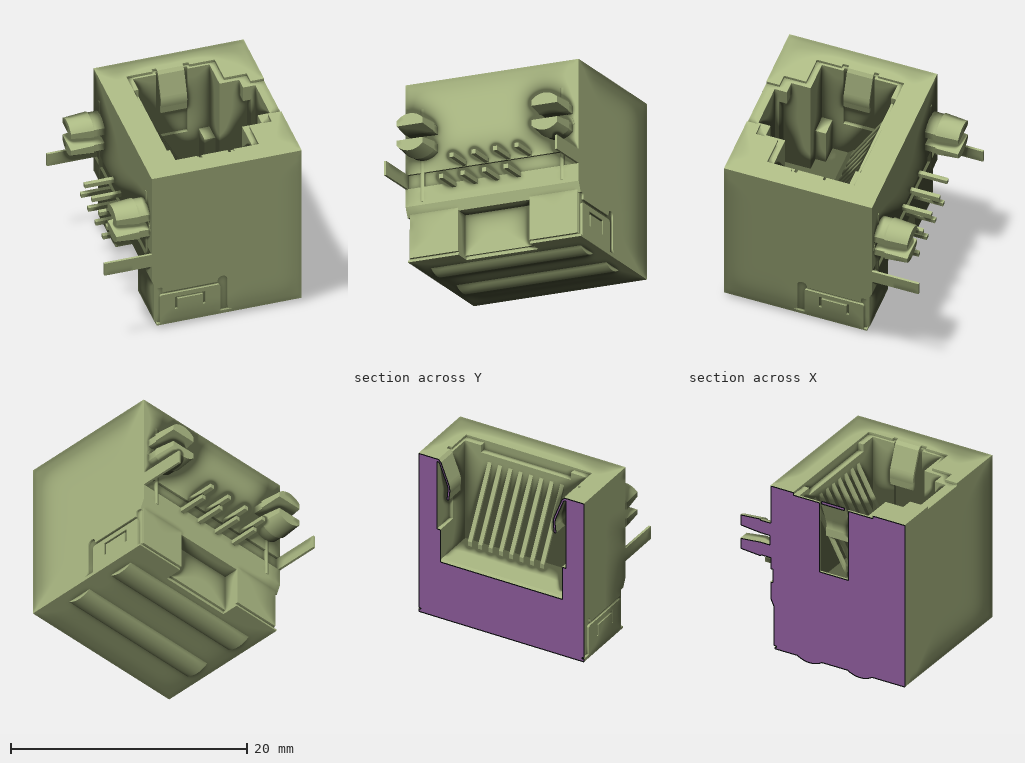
import cadquery as cq
import math


body_width = 16.27
body_depth = 13.32
body_height = 15.69
overall_height = 16.05
shell_thickness = 0.21
rim_depth = 0.25
half_width = body_width / 2
housing_half_width = half_width - shell_thickness
rim_level = body_height - rim_depth

chamfer_top = 4.8
chamfer_bottom = 3.93
chamfer_setback = 0.4
foot_top = 4.2
foot_front = 0.3
foot_bottom = 0.3
foot_inset = 0.05
seam_bottom = 0.18
seam_depth = 0.12
shell_front = 0.44
recess_half_width = 3.37
recess_depth = 1.79
recess_plate_setback = 0.23

opening_bottom = 2.28
opening_steps = [(6.19, 10.13), (3.52, 12.13), (2.4, body_depth)]
cavity_bottom = 2.8
cavity_half_width = 5.98
cavity_shoulder = 9.6
latch_half_width = 3.15
latch_shoulder = 12.06
key_half_width = 2.03
cavity_back = 12.43
cavity_steps = [
    (cavity_half_width, cavity_shoulder),
    (latch_half_width, latch_shoulder),
    (key_half_width, cavity_back),
]
cavity_floor = 5.26
keeper_front = 11.35
keeper_height = 1.44
rim_gap_half_width = 4.42
rim_gap_depth = 0.7

ledge_inner = 4.33
ledge_front = 8.66
ledge_top = 8.84
floor_step_top = 5.78
floor_slope_start = 6.73
floor_slope_end = 7.25

spring_front = 5.03
spring_back = 7.35
spring_shoulder = [(6.19, body_height), (5.93, 15.43), (5.19, 13.55)]
spring_bend = [(5.07, 13.05), (5.1, 12.53)]
spring_tip = [(5.15, 11.92), (5.38, 11.92), (5.33, 12.6)]
spring_back_bend = [(5.3, 13.05), (5.4, 13.48)]
spring_back_shoulder = (6.14, 15.35)
relief_half_width = 6.5
relief_front = 4.63
relief_back = 7.89
spring_slot_half_width = 6.31
spring_slot_front = 4.87
spring_slot_back = 7.68
spring_slot_bottom = 8.76

contact_count = 8
contact_pitch = 1.02
pin_size = 0.39
pin_length = 2.61
pin_rows = (6.14, 7.89)
contact_root = 14.02
contact_end = 6.14
contact_tip = 7.89
contact_drop = 0.44

tab_length = 4.2
tab_bottom = 6.38
tab_top = 7.65
groove_depth = 0.25

relief_height = 0.05
rib_inner = 6.4
rib_outer = 6.73
rib_bottom = 5.1
rib_top = 13.32
post_x = 6.33
post_z = 10.4
post_base_length = 0.96
post_length = 2.96
post_base_size = (1.7, 1.26)
post_flare_size = (1.8, 1.37)
post_tip_size = (1.65, 1.21)
post_slot_half = 0.44
post_tip_slot_half = 0.63
post_root = 0.18
pad_inner = -0.35
pad_half_height = 0.53
pad_rounding = [(0.53, 0.53), (1.17, 0.07), (1.42, -0.53)]

ridge_half_length = 7.03
ridge_half_width = 1.21
ridge_height = overall_height - body_height
ridge_positions = (3.87, 8.85)

panel_front = 0.74
panel_back = 6.08
panel_top = 3.12
panel_corner = 0.21
slot_back = 6.71
slot_foot_back = 7.15
slot_bottom = 0.32
slot_cap_radius = 0.4
slot_top = 3.96
strip_top = 3.42
strip_front = 0.96
strip_back = 5.85
tongue_front = 2.07
tongue_back = 4.77
tongue_bottom = 1.4
tongue_top = 2.68
tongue_gap = 0.23


def box(x0, x1, y0, y1, z0, z1):
    """Box between the given limits."""
    return cq.Workplane("XY").box(x1 - x0, y1 - y0, z1 - z0, centered=False).translate((x0, y0, z0))


def both_sides(solid):
    """The solid together with its mirror image across X = 0."""
    return solid.union(solid.mirror("YZ"))


def stepped_prism(bottom, steps, z0, z1):
    """Prism whose plan narrows in symmetric steps as Y rises."""
    prism = None
    for half, top in steps:
        level = box(-half, half, bottom, top, z0, z1)
        prism = level if prism is None else prism.union(level)
    return prism


def make_body():
    """Outer block with the chamfered lower face, two feet, the recess between them and the tab groove."""
    body = box(-half_width, half_width, 0, body_depth, 0, body_height)
    below_chamfer = (
        cq.Workplane("YZ")
        .moveTo(0, 0)
        .lineTo(0, chamfer_top)
        .lineTo(chamfer_setback, chamfer_bottom)
        .lineTo(shell_front, chamfer_bottom)
        .lineTo(shell_front, 0)
        .close()
        .extrude(half_width, both=True)
    )
    foot_half_width = housing_half_width - foot_inset
    feet = box(-foot_half_width, foot_half_width, foot_front, shell_front, foot_bottom, foot_top)
    recess = box(-recess_half_width, recess_half_width, 0, recess_depth, 0, chamfer_bottom).union(
        box(-recess_half_width, recess_half_width, 0, recess_depth + recess_plate_setback, 0, foot_bottom)
    )
    seam_back = shell_front + seam_depth
    seam = box(-housing_half_width, housing_half_width, shell_front, seam_back, seam_bottom, foot_bottom)
    feet = feet.cut(box(-recess_half_width, recess_half_width, 0, shell_front, 0, foot_top))
    groove = box(-half_width, half_width, 0, groove_depth, tab_bottom, tab_top)
    return body.cut(below_chamfer).union(feet).cut(seam).cut(recess).cut(groove)


def cut_opening(body):
    """Cut the stepped opening in the shell, the cavity below it and the spring clearances."""
    body = body.cut(stepped_prism(opening_bottom, opening_steps, rim_level, body_height))
    body = body.cut(stepped_prism(cavity_bottom, cavity_steps, cavity_floor, body_height))
    rim_gap_floor = rim_level - rim_gap_depth
    rim_gap = box(
        -rim_gap_half_width, rim_gap_half_width, opening_bottom, cavity_bottom, rim_gap_floor, rim_level
    )
    shell_relief = box(0, relief_half_width, relief_front, relief_back, rim_level, body_height)
    spring_slot = box(
        0, spring_slot_half_width, spring_slot_front, spring_slot_back, spring_slot_bottom, body_height
    )
    return body.cut(rim_gap).cut(both_sides(shell_relief.union(spring_slot)))


def make_cavity_steps():
    """Latch keepers, corner ledges and the sloped floor step inside the cavity."""
    keeper = box(
        key_half_width, latch_half_width, keeper_front, latch_shoulder, rim_level - keeper_height, rim_level
    )
    ledge = box(ledge_inner, cavity_half_width, ledge_front, cavity_shoulder, cavity_floor, ledge_top)
    floor_step = (
        cq.Workplane("YZ")
        .moveTo(cavity_bottom, cavity_floor)
        .lineTo(floor_slope_end, cavity_floor)
        .lineTo(floor_slope_start, floor_step_top)
        .lineTo(cavity_bottom, floor_step_top)
        .close()
        .extrude(cavity_half_width, both=True)
    )
    return both_sides(keeper.union(ledge)).union(floor_step)


def make_springs():
    """Bent strips hanging from the shell edge and leaning into the cavity."""
    spring = (
        cq.Workplane("XZ", origin=(0, spring_back, 0))
        .moveTo(relief_half_width, body_height)
        .polyline(spring_shoulder, includeCurrent=True)
        .threePointArc(*spring_bend)
        .polyline(spring_tip, includeCurrent=True)
        .threePointArc(*spring_back_bend)
        .lineTo(*spring_back_shoulder)
        .lineTo(relief_half_width, rim_level)
        .close()
        .extrude(spring_back - spring_front)
    )
    return both_sides(spring)


def make_contacts():
    """Sloping contact blades in the cavity and two staggered rows of solder pins."""
    parts = None
    for i in range(contact_count):
        x = (i - (contact_count - 1) / 2) * contact_pitch
        blade = (
            cq.Workplane("YZ", origin=(x, 0, 0))
            .moveTo(opening_bottom, contact_root - contact_drop)
            .lineTo(opening_bottom, contact_root)
            .lineTo(cavity_bottom, contact_root)
            .lineTo(contact_end, contact_tip)
            .lineTo(contact_end, contact_tip - contact_drop)
            .lineTo(cavity_bottom, contact_root - contact_drop)
            .close()
            .extrude(pin_size / 2, both=True)
        )
        z = pin_rows[i % 2]
        half = pin_size / 2
        pin = box(x - half, x + half, -pin_length, cavity_bottom, z - half, z + half)
        part = blade.union(pin)
        parts = part if parts is None else parts.union(part)
    return parts


def post_section(y, size, half_slot, sign):
    """One half of a slotted round section with flat flanks, on the plane at Y = y."""
    radius, half_flat = size
    flank = math.sqrt(radius**2 - half_flat**2)
    return (
        cq.Workplane("XZ", origin=(0, y, 0))
        .moveTo(-half_flat, sign * half_slot)
        .lineTo(half_flat, sign * half_slot)
        .lineTo(half_flat, sign * flank)
        .threePointArc((0, sign * radius), (-half_flat, sign * flank))
        .close()
    )


def make_posts():
    """Split locating posts with flared, tapering heads, each on a thin raised pad."""
    post = None
    for sign in (1, -1):
        base = post_section(post_root, post_base_size, post_slot_half, sign)
        base = base.extrude(post_root + post_base_length)
        wide_end = post_section(-post_base_length, post_flare_size, post_slot_half, sign).val()
        tip = post_section(-post_length, post_tip_size, post_tip_slot_half, sign).val()
        head = cq.Workplane(cq.Solid.makeLoft([wide_end, tip], True))
        half = base.union(head)
        post = half if post is None else post.union(half)
    pad = (
        cq.Workplane("XZ", origin=(0, groove_depth, 0))
        .moveTo(pad_inner, -pad_half_height)
        .lineTo(pad_inner, pad_half_height)
        .lineTo(*pad_rounding[0])
        .threePointArc(pad_rounding[1], pad_rounding[2])
        .close()
        .extrude(groove_depth + relief_height)
    )
    return both_sides(post.union(pad).translate((post_x, 0, post_z)))


def make_tabs_and_ribs():
    """Solder tabs at the shell sides and rounded ribs crossing the groove."""
    tab = box(housing_half_width, half_width, -tab_length, shell_front, tab_bottom, tab_top)
    rib = (
        cq.Workplane("XY", origin=(0, 0, rib_bottom))
        .moveTo(rib_inner, groove_depth)
        .lineTo(rib_inner, 0)
        .threePointArc(((rib_inner + rib_outer) / 2, -relief_height), (rib_outer, 0))
        .lineTo(rib_outer, groove_depth)
        .close()
        .extrude(rib_top - rib_bottom)
    )
    return both_sides(tab.union(rib))


def make_ridges():
    """Shallow cylindrical ridges running along X under the body."""
    ridges = None
    for y in ridge_positions:
        ridge = (
            cq.Workplane("YZ")
            .moveTo(y - ridge_half_width, 0)
            .threePointArc((y, -ridge_height), (y + ridge_half_width, 0))
            .lineTo(y + ridge_half_width, shell_thickness)
            .lineTo(y - ridge_half_width, shell_thickness)
            .close()
            .extrude(ridge_half_length, both=True)
        )
        ridges = ridge if ridges is None else ridges.union(ridge)
    return ridges


def make_panel_slots():
    """Slots through the shell side: a gap around the panel and a tongue inside it."""
    x0 = housing_half_width
    x1 = half_width
    panel = box(x0, x1, panel_front, panel_back, 0, panel_top).edges("|X and >Z").fillet(panel_corner)
    back_gap = box(x0, x1, strip_back, slot_back, slot_bottom, slot_top)
    back_gap = back_gap.edges("|X and >Z").fillet(slot_cap_radius)
    front_gap = box(x0, x1, shell_front, strip_front, seam_bottom, slot_top)
    front_gap = front_gap.edges("|X and >Z and >Y").fillet(panel_corner)
    top_gap = box(x0, x1, strip_front, strip_back, panel_top - panel_corner, strip_top)
    foot_size = slot_foot_back - slot_back
    foot_sag = foot_size * (1 - math.sqrt(0.5))
    foot = (
        cq.Workplane("YZ", origin=(x0, 0, 0))
        .moveTo(slot_back, slot_bottom)
        .lineTo(slot_foot_back, slot_bottom)
        .threePointArc((slot_back + foot_sag, slot_bottom + foot_sag), (slot_back, slot_bottom + foot_size))
        .close()
        .extrude(shell_thickness)
    )
    tongue = box(
        x0, x1, tongue_front + tongue_gap, tongue_back - tongue_gap, tongue_bottom, tongue_top - tongue_gap
    )
    tongue_slot = box(x0, x1, tongue_front, tongue_back, tongue_bottom, tongue_top).cut(tongue)
    gap = back_gap.union(front_gap).union(top_gap).union(foot).cut(panel)
    return both_sides(gap.union(tongue_slot))


result = cut_opening(make_body())
result = result.union(make_cavity_steps()).union(make_springs()).union(make_contacts())
result = result.union(make_tabs_and_ribs()).union(make_posts()).union(make_ridges())
result = result.cut(make_panel_slots())